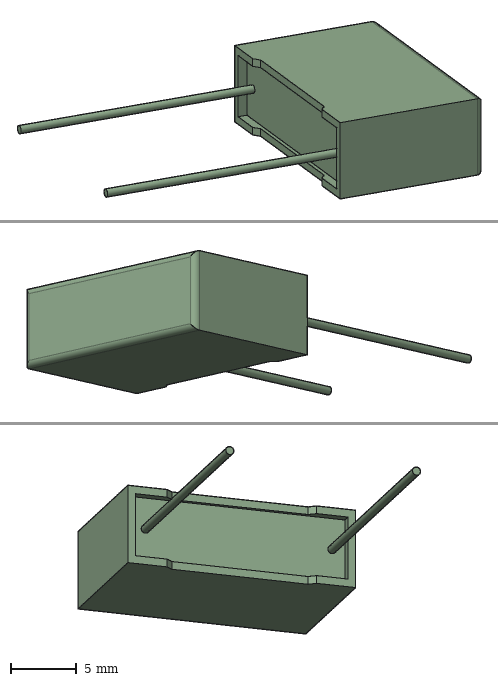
import cadquery as cq

case_width = 18.3
case_length = 12.1
case_thickness = 6.21
wall = 0.62
closed_end_radius = 0.5

notch_width = 12.0
notch_depth = 0.42
notch_slope_run = 0.52

fill_recess = 0.75

lead_diameter = 0.65
lead_pitch = 15.0
lead_reach = 19.0

cavity_width = case_width - 2 * wall
cavity_thickness = case_thickness - 2 * wall
cavity_end = case_length - wall


def block_along_y(width, thickness, y_start, y_end):
    """Box centred on X and Z that spans the given range of Y."""
    block = cq.Workplane("XY").box(width, y_end - y_start, thickness, centered=(True, False, True))
    return block.translate((0, y_start, 0))


def make_rim_notch():
    """Cutter for the notch, passing through both broad walls."""
    half_mouth = notch_width / 2
    half_floor = half_mouth - notch_slope_run
    return (
        cq.Workplane("XY")
        .moveTo(-half_mouth, 0)
        .lineTo(-half_floor, notch_depth)
        .lineTo(half_floor, notch_depth)
        .lineTo(half_mouth, 0)
        .close()
        .extrude(case_thickness / 2, both=True)
    )


def make_case():
    """Hollow case with a rounded closed end and a notched rim."""
    shell = block_along_y(case_width, case_thickness, 0, case_length)
    shell = shell.faces(">Y").edges().fillet(closed_end_radius)
    cavity = block_along_y(cavity_width, cavity_thickness, 0, cavity_end)
    return shell.cut(cavity).cut(make_rim_notch())


def make_filling():
    """Solid block that fills the cavity up to the recess at the mouth."""
    return block_along_y(cavity_width, cavity_thickness, fill_recess, cavity_end)


def make_lead(x):
    """Round wire that starts on the face of the filling and points toward -Y."""
    start = cq.Workplane("XZ", origin=(x, fill_recess, 0))
    return start.circle(lead_diameter / 2).extrude(fill_recess + lead_reach)


case = make_case()
filling = make_filling()
leads = [make_lead(side * lead_pitch / 2) for side in (-1, 1)]

result = cq.Compound.makeCompound([case.val(), filling.val(), *[lead.val() for lead in leads]])